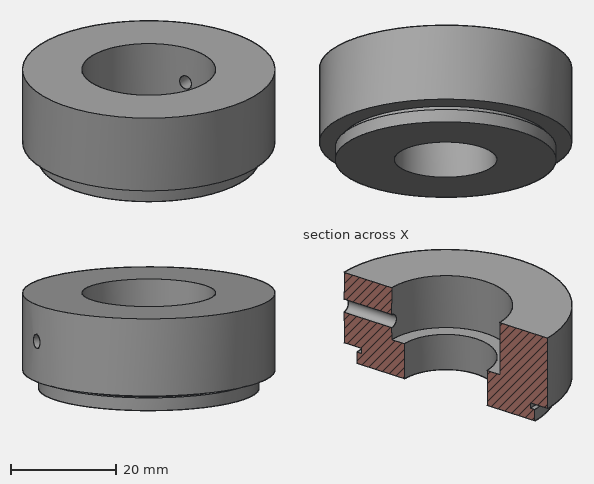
import cadquery as cq

body_diameter = 48.0
total_height = 18.5

flange_diameter = 42.0
flange_height = 2.5
groove_diameter = 40.0
groove_height = 1.0

bore_diameter = 19.5
counterbore_diameter = 25.4
counterbore_depth = 11.0

radial_hole_diameter = 2.7
radial_hole_depth = 7.1


def ring_body():
    """Flange, groove and main body stacked from the bottom up."""
    body_height = total_height - flange_height - groove_height
    return (
        cq.Workplane("XY")
        .circle(flange_diameter / 2)
        .extrude(flange_height)
        .faces(">Z")
        .workplane()
        .circle(groove_diameter / 2)
        .extrude(groove_height)
        .faces(">Z")
        .workplane()
        .circle(body_diameter / 2)
        .extrude(body_height)
    )


def radial_hole():
    """Cylinder from the ring axis out through the +Y side."""
    return cq.Workplane(
        cq.Solid.makeCylinder(
            radial_hole_diameter / 2,
            body_diameter,
            cq.Vector(0, 0, total_height - radial_hole_depth),
            cq.Vector(0, 1, 0),
        )
    )


result = (
    ring_body()
    .faces(">Z")
    .workplane()
    .cboreHole(bore_diameter, counterbore_diameter, counterbore_depth)
    .cut(radial_hole())
)